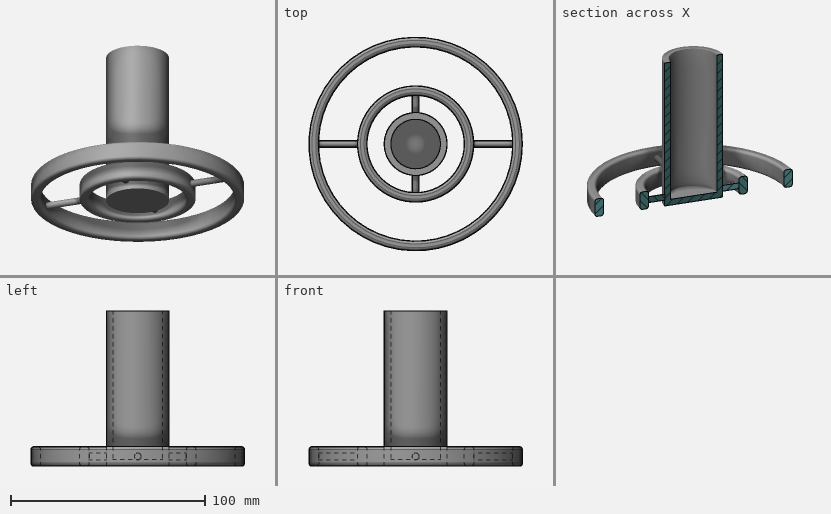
import cadquery as cq

OUTER_RING_OD = 110.0
OUTER_RING_ID = 100.0
INNER_RING_OD = 60.0
INNER_RING_ID = 50.0
RING_HEIGHT = 10.0
RING_EDGE_RADIUS = 1.5

CUP_OD = 32.5
CUP_BORE = 25.5
CUP_HEIGHT = 80.0
CUP_FLOOR = (CUP_OD - CUP_BORE) / 2

PIN_DIAMETER = 3.5
PIN_Z = RING_HEIGHT / 2
OUTER_PIN_ANGLES = (0, 180)
INNER_PIN_ANGLES = (90, 270)


def cylinder(diameter, height):
    """Upright cylinder standing on Z = 0."""
    return cq.Workplane("XY").circle(diameter / 2).extrude(height)


def make_ring(outer_diameter, inner_diameter):
    """Flat ring with all four circular edges rounded."""
    ring = cylinder(outer_diameter, RING_HEIGHT).cut(cylinder(inner_diameter, RING_HEIGHT))
    return ring.faces("|Z").edges().fillet(RING_EDGE_RADIUS)


def make_cup():
    """Tall round cup with a blind bore from the top."""
    bore = cylinder(CUP_BORE, CUP_HEIGHT - CUP_FLOOR).translate((0, 0, CUP_FLOOR))
    return cylinder(CUP_OD, CUP_HEIGHT).cut(bore)


def make_pin(inside_diameter, outside_diameter, angle):
    """Radial pin whose ends follow the two round walls that it joins."""
    rod = (
        cq.Workplane("YZ")
        .center(0, PIN_Z)
        .circle(PIN_DIAMETER / 2)
        .extrude(outside_diameter / 2)
    )
    pin = rod.intersect(cylinder(outside_diameter, RING_HEIGHT))
    pin = pin.cut(cylinder(inside_diameter, RING_HEIGHT))
    return pin.rotate((0, 0, 0), (0, 0, 1), angle)


outer_ring = make_ring(OUTER_RING_OD, OUTER_RING_ID)
inner_ring = make_ring(INNER_RING_OD, INNER_RING_ID)
cup = make_cup()
outer_pins = [make_pin(INNER_RING_OD, OUTER_RING_ID, angle) for angle in OUTER_PIN_ANGLES]
inner_pins = [make_pin(CUP_OD, INNER_RING_ID, angle) for angle in INNER_PIN_ANGLES]

result = cq.Compound.makeCompound([
    outer_ring.val(),
    inner_ring.val(),
    cup.val(),
    *[pin.val() for pin in outer_pins],
    *[pin.val() for pin in inner_pins],
])